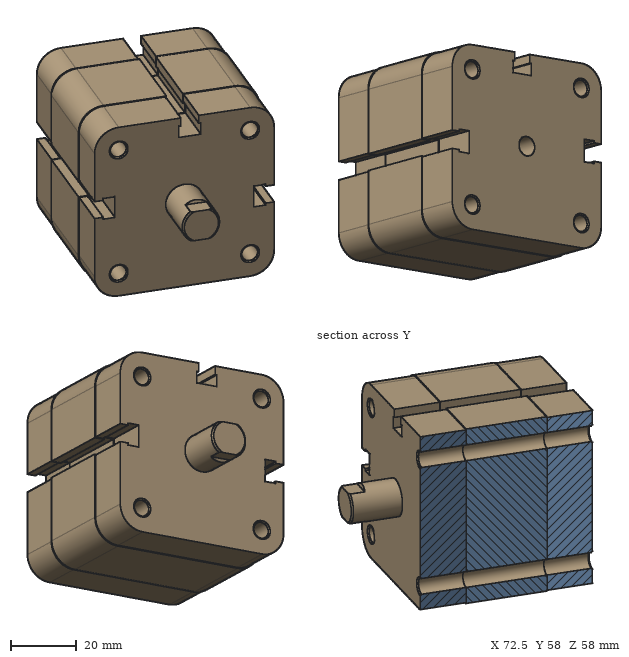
import cadquery as cq

TOTAL_LENGTH = 72.5
CAP_LENGTH = 14.85
BARREL_LENGTH = 26.3
BARREL_SIDE = 58.0
CAP_INSET = 0.26

SCREW_OFFSET = 21.0
SCREW_HOLE_DIAMETER = 5.1
SCREW_CHAMFER = 0.4

SLOT_SHIFT = 1.75
SLOT_MOUTH_WIDTH = 5.2
SLOT_WIDTH = 6.5
SLOT_LIP_DEPTH = 3.25
SLOT_DEPTH = 6.5
SLOT_ANGLES = (0, 90, -90)

CENTRE_HOLE_DIAMETER = 6.0

ROD_DIAMETER = 11.95
ROD_CHAMFER = 0.5
FLAT_SPACING = 9.85
FLAT_LENGTH = 5.2
FLAT_RUN_OUT = 0.35

BARREL_START = CAP_LENGTH
FRONT_CAP_START = BARREL_START + BARREL_LENGTH
ROD_START = FRONT_CAP_START + CAP_LENGTH
ROD_LENGTH = TOTAL_LENGTH - ROD_START


def slot_cutter(start, length, inset):
    """T-shaped slot bar in the +Z face; the inset moves the walls as it moves the outer faces."""
    top = BARREL_SIDE / 2
    half_mouth = SLOT_MOUTH_WIDTH / 2 + inset
    half_width = SLOT_WIDTH / 2 + inset
    lip = top - SLOT_LIP_DEPTH + inset
    floor = top - SLOT_DEPTH - inset
    return (
        cq.Workplane("YZ", origin=(start, SLOT_SHIFT, 0))
        .polyline([
            (-half_mouth, top),
            (-half_mouth, lip),
            (-half_width, lip),
            (-half_width, floor),
            (half_width, floor),
            (half_width, lip),
            (half_mouth, lip),
            (half_mouth, top),
        ])
        .close()
        .extrude(length)
    )


def slotted_block(start, length, inset):
    """Square block with rounded corners, three sensor slots and four screw holes."""
    side = BARREL_SIDE - 2 * inset
    block = (
        cq.Workplane("YZ", origin=(start, 0, 0))
        .rect(side, side)
        .extrude(length)
        .edges("|X")
        .fillet(side / 2 - SCREW_OFFSET)
    )
    cutter = slot_cutter(start, length, inset)
    for angle in SLOT_ANGLES:
        block = block.cut(cutter.rotate((0, 0, 0), (1, 0, 0), angle))
    return block.cut(
        cq.Workplane("YZ", origin=(start, 0, 0))
        .rect(2 * SCREW_OFFSET, 2 * SCREW_OFFSET, forConstruction=True)
        .vertices()
        .circle(SCREW_HOLE_DIAMETER / 2)
        .extrude(length)
    )


def chamfer_screw_holes(cap, outer_face):
    """Chamfer the screw hole mouths, the smallest circles on the cap's outer face."""
    return cap.faces(outer_face).edges(cq.selectors.RadiusNthSelector(0)).chamfer(SCREW_CHAMFER)


def make_rear_cap():
    """Rear cap with a centring hole that ends at the barrel."""
    cap = chamfer_screw_holes(slotted_block(0, CAP_LENGTH, CAP_INSET), "<X")
    return cap.cut(cq.Workplane("YZ").circle(CENTRE_HOLE_DIAMETER / 2).extrude(CAP_LENGTH))


def make_barrel():
    """Barrel between the caps, standing slightly proud of them."""
    return slotted_block(BARREL_START, BARREL_LENGTH, 0)


def make_front_cap():
    """Front cap, whose outer face carries the piston rod."""
    return chamfer_screw_holes(slotted_block(FRONT_CAP_START, CAP_LENGTH, CAP_INSET), ">X")


def make_piston_rod():
    """Round rod with a chamfered end and two opposite wrench flats."""
    radius = ROD_DIAMETER / 2
    rod = (
        cq.Workplane("YZ", origin=(ROD_START, 0, 0))
        .circle(radius)
        .extrude(ROD_LENGTH)
        .faces(">X")
        .chamfer(ROD_CHAMFER)
    )
    flat_start = TOTAL_LENGTH - FLAT_LENGTH
    flat = (
        cq.Workplane("XZ")
        .polyline([
            (flat_start, FLAT_SPACING / 2),
            (TOTAL_LENGTH, FLAT_SPACING / 2),
            (TOTAL_LENGTH, radius),
            (flat_start - FLAT_RUN_OUT, radius),
        ])
        .close()
        .extrude(radius, both=True)
    )
    return rod.cut(flat).cut(flat.mirror("XY"))


rear_cap = make_rear_cap()
barrel = make_barrel()
front_cap = make_front_cap()
piston_rod = make_piston_rod()

result = cq.Compound.makeCompound([
    rear_cap.val(),
    barrel.val(),
    front_cap.val(),
    piston_rod.val(),
])